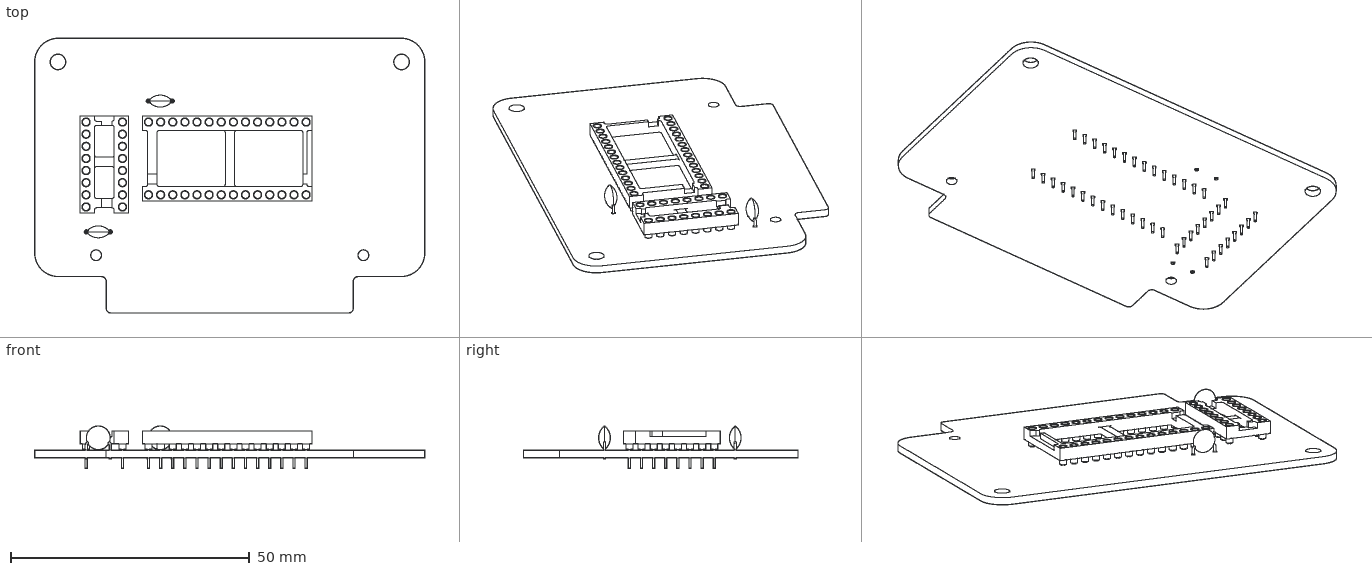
import cadquery as cq
import math


board_length = 81.8
board_width = 50.0
board_thickness = 1.6
board_corner_radius = 5.0
tab_length = 51.8
tab_depth = 7.62
tab_corner_radius = 1.0
mount_hole_diameter = 3.2
mount_hole_spacing = 72.0
mount_hole_y = board_width / 2 - 5.0
small_hole_diameter = 2.2
small_hole_spacing = 56.0
small_hole_y = -20.5
lead_hole_diameter = 0.8

pitch = 2.54
housing_bottom = 1.35
housing_height = 2.7
rail_width = 3.0
window_corner_radius = 0.5
end_recess_depth = 1.1
bar_width = 1.95
low_bar_height = 1.5
key_notch_width = 2.15
key_notch_edge = 0.5
pin_collar_bottom = 0.2
pin_collar_diameter = 1.52
pin_seat_diameter = 1.72
pin_seat_depth = 0.1
pin_funnel_depth = 1.2
pin_tail_diameter = 0.51
pin_tail_bottom = -3.78

pin_row_y = 7.4
small_socket_pins_per_row = 8
small_socket_row_spacing = 3 * pitch
small_socket_first_x = -30.1
large_socket_pins_per_row = 14
large_socket_row_spacing = 6 * pitch
large_socket_first_x = -17.02

disc_diameter = 5.0
disc_thickness = 2.5
disc_top = 5.1
disc_centre_z = disc_top - disc_diameter / 2
capacitor_lead_diameter = 0.5
capacitor_lead_spacing = 5.0
capacitor_lead_bottom = -board_thickness - 0.2
lead_bend_start = 1.1
lead_bend_radius = 0.5
lead_inner_x = 1.0
capacitor_centres = [(-14.56, 11.8), (-27.54, -15.6)]



def pin_grid(pins_per_row, row_spacing):
    """Pin centres of a socket lying along X and centred on the origin."""
    return [
        ((index - (pins_per_row - 1) / 2) * pitch, side * row_spacing / 2)
        for index in range(pins_per_row)
        for side in (-1, 1)
    ]


small_socket_pins = pin_grid(small_socket_pins_per_row, small_socket_row_spacing)
small_socket_centre = (
    small_socket_first_x + small_socket_row_spacing / 2,
    pin_row_y - (small_socket_pins_per_row - 1) * pitch / 2,
)

large_socket_pins = pin_grid(large_socket_pins_per_row, large_socket_row_spacing)
large_socket_centre = (
    large_socket_first_x + (large_socket_pins_per_row - 1) * pitch / 2,
    pin_row_y - large_socket_row_spacing / 2,
)

lead_hole_centres = [(small_socket_centre[0] - y, small_socket_centre[1] + x) for x, y in small_socket_pins]
lead_hole_centres += [(large_socket_centre[0] + x, large_socket_centre[1] + y) for x, y in large_socket_pins]
lead_hole_centres += [
    (x + side * capacitor_lead_spacing / 2, y)
    for x, y in capacitor_centres
    for side in (-1, 1)
]



def make_board():
    """Rounded plate with an edge-connector tab, mounting holes and lead holes."""
    plate = (
        cq.Workplane("XY")
        .workplane(offset=-board_thickness)
        .rect(board_length, board_width)
        .extrude(board_thickness)
        .edges("|Z")
        .fillet(board_corner_radius)
    )
    tab = (
        cq.Workplane("XY")
        .workplane(offset=-board_thickness)
        .center(0, -(board_width + tab_depth) / 2)
        .rect(tab_length, tab_depth)
        .extrude(board_thickness)
        .edges("|Z and <Y")
        .fillet(tab_corner_radius)
    )
    inner_corners = cq.selectors.BoxSelector(
        (-tab_length / 2 - tab_corner_radius, -board_width / 2 - tab_corner_radius, -board_thickness),
        (tab_length / 2 + tab_corner_radius, -board_width / 2 + tab_corner_radius, 0),
    )
    board = plate.union(tab).edges("|Z").edges(inner_corners).fillet(tab_corner_radius)

    hole_groups = [
        (mount_hole_diameter, [(side * mount_hole_spacing / 2, mount_hole_y) for side in (-1, 1)]),
        (small_hole_diameter, [(side * small_hole_spacing / 2, small_hole_y) for side in (-1, 1)]),
        (lead_hole_diameter, lead_hole_centres),
    ]
    for diameter, centres in hole_groups:
        drills = (
            cq.Workplane("XY")
            .workplane(offset=-board_thickness)
            .pushPoints(centres)
            .circle(diameter / 2)
            .extrude(board_thickness)
        )
        board = board.cut(drills)
    return board




def rounded_cutter(x_start, x_end, width, z_start):
    """Block with rounded upright edges, from z_start to the housing's top face."""
    return (
        cq.Workplane("XY")
        .workplane(offset=z_start)
        .center((x_start + x_end) / 2, 0)
        .rect(x_end - x_start, width)
        .extrude(housing_bottom + housing_height - z_start)
        .edges("|Z")
        .fillet(window_corner_radius)
    )


def make_housing(pins_per_row, row_spacing):
    """Ladder-shaped plastic frame with two windows, pin-1 end towards -X."""
    length = pins_per_row * pitch
    width = row_spacing + pitch
    gap = width - 2 * rail_width
    low_top = housing_bottom + low_bar_height
    overhang = 2 * window_corner_radius

    housing = (
        cq.Workplane("XY")
        .workplane(offset=housing_bottom)
        .rect(length, width)
        .extrude(housing_height)
    )

    recess_end = -length / 2 + end_recess_depth
    window_start = recess_end + bar_width
    window_end = length / 2 - bar_width
    middle = (window_start + window_end) / 2
    housing = housing.cut(rounded_cutter(window_start, middle - bar_width / 2, gap, housing_bottom))
    housing = housing.cut(rounded_cutter(middle + bar_width / 2, window_end, gap, housing_bottom))
    middle_bar_relief = (
        cq.Workplane("XY")
        .workplane(offset=low_top)
        .center(middle, 0)
        .rect(bar_width + overhang, gap)
        .extrude(housing_height - low_bar_height)
    )
    housing = housing.cut(middle_bar_relief)

    housing = housing.cut(rounded_cutter(-length / 2 - overhang, recess_end, gap, housing_bottom))
    ledge_start = length / 2 - end_recess_depth
    housing = housing.cut(rounded_cutter(ledge_start, length / 2 + overhang, gap, low_top))

    notch_y = -gap / 2 + key_notch_edge + key_notch_width / 2
    for end_bar_x in (recess_end + bar_width / 2, length / 2 - bar_width / 2):
        notch = (
            cq.Workplane("XY")
            .workplane(offset=low_top)
            .center(end_bar_x, notch_y)
            .rect(bar_width, key_notch_width)
            .extrude(housing_height - low_bar_height)
        )
        housing = housing.cut(notch)
    return housing


def make_pin_body():
    """Collar and tail of one turned pin on the Z axis."""
    collar_top = housing_bottom + housing_height / 2
    collar = (
        cq.Workplane("XY")
        .workplane(offset=pin_collar_bottom)
        .circle(pin_collar_diameter / 2)
        .extrude(collar_top - pin_collar_bottom)
    )
    tail = (
        cq.Workplane("XY")
        .workplane(offset=pin_tail_bottom)
        .circle(pin_tail_diameter / 2)
        .extrude(collar_top - pin_tail_bottom)
    )
    return collar.union(tail)


def make_pin_bore():
    """Shallow seat and pointed funnel of one pin on the Z axis."""
    top = housing_bottom + housing_height
    seat_z = top - pin_seat_depth
    profile = [
        (0, seat_z - pin_funnel_depth),
        (pin_collar_diameter / 2, seat_z),
        (pin_seat_diameter / 2, seat_z),
        (pin_seat_diameter / 2, top),
        (0, top),
    ]
    return cq.Workplane("XZ").polyline(profile).close().revolve(360, (0, 0), (0, 1))


def make_socket(pins_per_row, row_spacing, pin_centres):
    """Socket lying along X, centred on the origin, as one solid with its pins."""
    socket = make_housing(pins_per_row, row_spacing)
    pin_body = make_pin_body().val()
    pin_bore = make_pin_bore().val()
    pin_moves = [cq.Vector(x, y, 0) for x, y in pin_centres]
    bodies = cq.Compound.makeCompound([pin_body.translate(move) for move in pin_moves])
    bores = cq.Compound.makeCompound([pin_bore.translate(move) for move in pin_moves])
    return socket.union(cq.Workplane(bodies)).cut(cq.Workplane(bores))




def make_disc():
    """Lens of two spherical caps, turned about the Y axis."""
    radius = disc_diameter / 2
    cap_height = disc_thickness / 2
    sphere_radius = (radius**2 + cap_height**2) / (2 * cap_height)
    half_angle = math.asin(radius / sphere_radius) / 2
    quarter_x = sphere_radius * math.sin(half_angle)
    quarter_y = cap_height - sphere_radius * (1 - math.cos(half_angle))
    return (
        cq.Workplane("XY")
        .moveTo(0, -cap_height)
        .threePointArc((quarter_x, -quarter_y), (radius, 0))
        .threePointArc((quarter_x, quarter_y), (0, cap_height))
        .close()
        .revolve(360, (0, 0), (0, 1))
        .translate((0, 0, disc_centre_z))
    )


def make_lead():
    """Lead on the +X side: straight up from below the board, then bent into the disc."""
    lead_x = capacitor_lead_spacing / 2
    bend_offset = lead_bend_radius * (1 - math.sqrt(0.5))
    bend_top = lead_bend_start + lead_bend_radius
    path = (
        cq.Workplane("XZ")
        .moveTo(lead_x, capacitor_lead_bottom)
        .lineTo(lead_x, lead_bend_start)
        .threePointArc((lead_x - bend_offset, bend_top - bend_offset), (lead_x - lead_bend_radius, bend_top))
        .lineTo(lead_inner_x, bend_top)
    )
    return (
        cq.Workplane("XY")
        .workplane(offset=capacitor_lead_bottom)
        .center(lead_x, 0)
        .circle(capacitor_lead_diameter / 2)
        .sweep(path)
    )


def make_capacitor():
    """Disc with one lead on each side, centred on the Z axis, as one solid."""
    lead = make_lead()
    return make_disc().union(lead).union(lead.mirror("YZ"))



board = make_board()
small_socket = (
    make_socket(small_socket_pins_per_row, small_socket_row_spacing, small_socket_pins)
    .rotate((0, 0, 0), (0, 0, 1), 90)
    .translate((*small_socket_centre, 0))
)
large_socket = make_socket(
    large_socket_pins_per_row, large_socket_row_spacing, large_socket_pins
).translate((*large_socket_centre, 0))
capacitors = [make_capacitor().translate((x, y, 0)) for x, y in capacitor_centres]

result = cq.Compound.makeCompound(
    [
        board.val(),
        small_socket.val(),
        large_socket.val(),
        *[capacitor.val() for capacitor in capacitors],
    ]
)